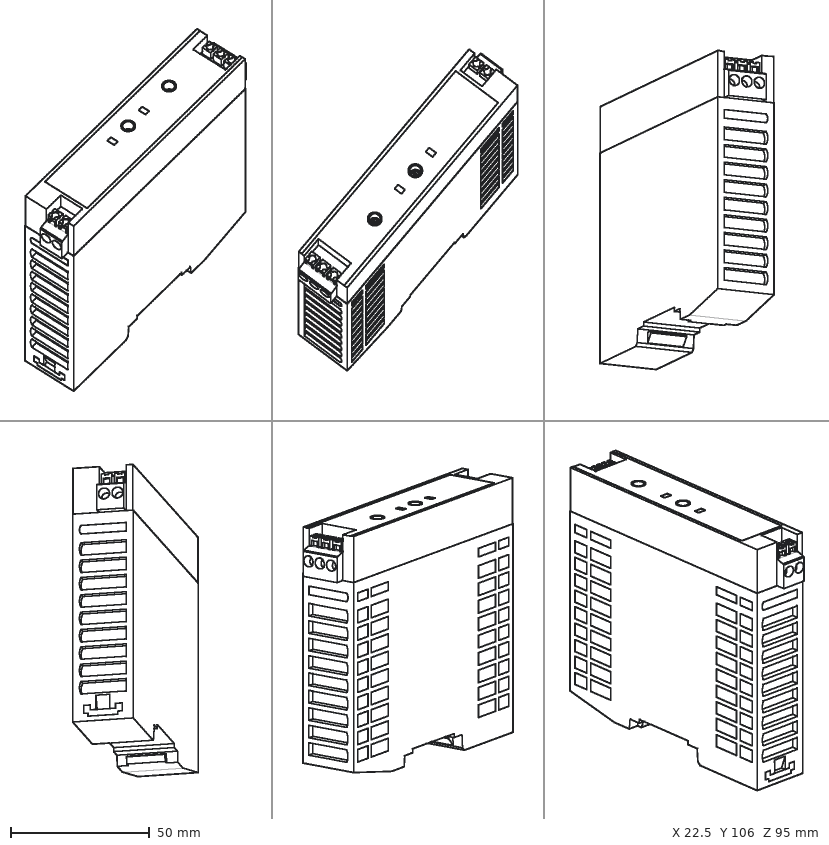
import cadquery as cq

width = 22.5
height = 95.0
total_length = 106
half_length = 49.5
half_width = width / 2
cap_bottom = 77.8
seam_step = 0.1
line_depth = 0.1

toe_start = 6.9
toe_bottom = 2.1
toe_bend_y = 26.0
rail_edge_y = 17.7
rail_top = 6.1
relief_y = 12.8
relief_top = 7.6
front_foot_y = -19.3
channel_draft = 0.4
front_edge_bottom = 1.2
hook_width = 14.2
hook_root_y = 19.1
hook_top = 5.5
hook_tip_y = 15.3
hook_tip_top = 5.1
hook_tip_bottom = 4.6
rear_hook_heel_y = 16.1
front_hook_heel = 0.1

vent_left = -8.1
vent_right = 8.6
vent_bulge = 0.6
vent_height = 4.7
vent_depth = 2.5
vent_count = 9
vent_first_top = 66.9
vent_last_top = 14.9
vent_pitch = (vent_first_top - vent_last_top) / (vent_count - 1)
shallow_vent_top = 73.4
shallow_vent_height = 3.2
window_spans = [(28.0, 38.6), (40.6, 46.9)]

latch_half_width = 7.1
latch_foot_half_width = 5.5
latch_notch_half_width = 4.7
latch_top = 5.9
latch_notch_bottom = 4.1
latch_step = 3.0
latch_bottom = 1.8
finger_width = 5.1
finger_top = 9.4
finger_depth = 1.9

panel_half_width = 9.8
panel_front = -39.9
dial_x = -2.5
dial_ys = [22.6, -1.0]
dial_collar_diameter = 5.2
dial_bore_diameter = 4.0
dial_depth = 4.2
dial_screw_diameter = 2.5
dial_screw_height = 0.5
dial_slot_length = 1.1
dial_slot_width = 0.7
led_ys = [8.1, -10.0]
led_width = 3.2
led_length = 2.0

front_poles = 2
rear_poles = 3
connector_right = 8.6
pole_pitch = 5.0
pole_edge = 2.3
pocket_inner_y = 41.1
pocket_floor = 88.4
nose_crest = 87.5
nose_shoulder = 87.1
nose_chamfer = 0.4
tower_size = 3.8
tower_top = 92.1
tower_slot_depth = 0.4
tower_screw_diameter = 2.3
tower_cross_slot = 0.8
tower_front_slot = 1.4
tower_mouth_width = 2.4
tower_mouth_top = 90.5
tower_mouth_depth = 1.3
wire_hole_z = 83.7
wire_hole_diameter = 4.0
wire_hole_inner_diameter = 2.5
wire_hole_length = 5.1
wire_floor_depth = 3.4
wire_floor_tilt = 36


def block(x0, x1, y0, y1, z0, z1):
    """Box given by its limits along each axis."""
    return cq.Workplane("XY").box(x1 - x0, y1 - y0, z1 - z0, centered=False).translate((x0, y0, z0))


def side_prism(points, prism_width):
    """Extrude a (Y, Z) outline along X, centred on X = 0."""
    return cq.Workplane("YZ").polyline(points).close().extrude(prism_width / 2, both=True)


def front_prism(outline, depth):
    """Extrude a closed (X, Z) outline from the front face into the housing."""
    return outline.extrude(-depth).translate((0, -half_length, 0))


def mirror_to_rear(shape):
    return shape.mirror("XZ")


def make_body():
    outline = [
        (half_length, cap_bottom), (half_length, toe_start),
        (toe_bend_y, toe_bottom), (rail_edge_y + channel_draft, toe_bottom),
        (rail_edge_y, rail_top), (relief_y, rail_top),
        (relief_y, relief_top), (-relief_y, relief_top),
        (-relief_y, rail_top), (-rail_edge_y, rail_top),
        (-rail_edge_y - channel_draft, front_edge_bottom), (front_foot_y, 0),
        (-half_length, 0), (-half_length, cap_bottom),
    ]
    return side_prism(outline, width)


def make_hooks():
    """Rail hooks that reach from both channel sides under the rail flanges."""
    rear_hook = [
        (hook_root_y, toe_bottom), (rear_hook_heel_y, toe_bottom),
        (hook_tip_y, hook_tip_bottom), (rail_edge_y, hook_top), (hook_root_y, hook_top),
    ]
    front_hook = [
        (-hook_root_y, hook_top), (-rail_edge_y, hook_top), (-hook_tip_y, hook_tip_top),
        (-hook_tip_y, hook_tip_bottom), (front_foot_y, front_hook_heel), (front_foot_y, hook_tip_top),
    ]
    return side_prism(rear_hook, hook_width).union(side_prism(front_hook, hook_width))


def make_cap():
    cap_x = half_width - seam_step
    cap_y = half_length - seam_step
    return block(-cap_x, cap_x, -cap_y, cap_y, cap_bottom, height)


def vent_slot(top, slot_height, depth):
    """Horizontal vent in the front face with a curved left end."""
    bottom = top - slot_height
    outline = (
        cq.Workplane("XZ")
        .moveTo(vent_left, bottom)
        .lineTo(vent_right, bottom)
        .lineTo(vent_right, top)
        .lineTo(vent_left, top)
        .threePointArc((vent_left - vent_bulge, top - slot_height / 2), (vent_left, bottom))
        .close()
    )
    return front_prism(outline, depth)


def vent_windows(top, slot_height):
    """Two shallow windows in the -X side, near the front end."""
    windows = cq.Workplane("XY")
    for inner, outer in window_spans:
        window = block(-half_width, -half_width + line_depth, -outer, -inner, top - slot_height, top)
        windows = windows.add(window)
    return windows.combine()


def make_vents():
    vents = vent_slot(shallow_vent_top, shallow_vent_height, line_depth)
    vents = vents.union(vent_windows(shallow_vent_top, shallow_vent_height))
    for row in range(vent_count):
        top = vent_first_top - row * vent_pitch
        vents = vents.union(vent_slot(top, vent_height, vent_depth))
        vents = vents.union(vent_windows(top, vent_height))
    return vents.union(mirror_to_rear(vents))


def make_latch_recess():
    """Outline of the latch slider and the sloped finger recess above it."""
    right_side = [
        (latch_foot_half_width, latch_bottom), (latch_foot_half_width, latch_step),
        (latch_half_width, latch_step), (latch_half_width, latch_top),
        (latch_notch_half_width, latch_top), (latch_notch_half_width, latch_notch_bottom),
    ]
    left_side = [(-x, z) for x, z in reversed(right_side)]
    slider = front_prism(cq.Workplane("XZ").polyline(right_side + left_side).close(), line_depth)
    finger = side_prism(
        [
            (-half_length, finger_top),
            (-half_length, latch_notch_bottom),
            (-half_length + finger_depth, latch_notch_bottom),
        ],
        finger_width,
    )
    return slider.union(finger)


def make_panel_recess():
    cap_end = half_length - seam_step
    floor = height - line_depth
    panel = block(-panel_half_width, panel_half_width, panel_front, cap_end, floor, height)
    led_floor = floor - line_depth
    for led_y in led_ys:
        led = cq.Workplane("XY").box(led_width, led_length, line_depth, centered=(True, True, False))
        panel = panel.union(led.translate((dial_x, led_y, led_floor)))
    for dial_y in dial_ys:
        panel = panel.union(dial_recess().translate((dial_x, dial_y, floor)))
    return panel


def dial_recess():
    """Collar and bore of a trimmer, around the slotted screw left standing at the bottom."""
    collar = cq.Workplane("XY").circle(dial_collar_diameter / 2).extrude(-line_depth)
    bore = cq.Workplane("XY").circle(dial_bore_diameter / 2).extrude(-dial_depth)
    screw = (
        cq.Workplane("XY", origin=(0, 0, -dial_depth))
        .circle(dial_screw_diameter / 2)
        .extrude(dial_screw_height)
        .faces(">Z")
        .workplane()
        .rect(dial_slot_length, dial_slot_width)
        .cutBlind(-dial_screw_height)
    )
    return collar.union(bore).cut(screw)


def pole_centres(poles):
    return [connector_right - pole_edge - pole * pole_pitch for pole in range(poles)]


def connector_left(poles):
    return connector_right - poles * pole_pitch


def make_pocket(poles):
    return block(
        connector_left(poles), connector_right, -half_length, -pocket_inner_y, pocket_floor, height
    )


def wire_hole(x):
    """Tapered wire entry that ends on a tilted clamp plate."""
    face_y = -total_length / 2
    funnel = (
        cq.Workplane("XZ", origin=(x, face_y, wire_hole_z))
        .circle(wire_hole_diameter / 2)
        .workplane(offset=-wire_hole_length)
        .circle(wire_hole_inner_diameter / 2)
        .loft()
    )
    plate_size = 3 * wire_hole_diameter
    plate = (
        cq.Workplane("XY")
        .box(plate_size, plate_size, plate_size, centered=(True, False, True))
        .rotate((0, 0, 0), (1, 0, 0), -wire_floor_tilt)
        .translate((x, face_y + wire_floor_depth, wire_hole_z))
    )
    return funnel.cut(plate)


def terminal_tower(x):
    """Clamp tower with a screw recess on top and a mouth on its outer face."""
    outer_y = -half_length + seam_step
    half = tower_size / 2
    centre_y = outer_y + half
    slot_floor = tower_top - tower_slot_depth
    tower = block(x - half, x + half, outer_y, outer_y + tower_size, pocket_floor, tower_top)
    screw = (
        cq.Workplane("XY", origin=(x, centre_y, slot_floor))
        .circle(tower_screw_diameter / 2)
        .extrude(tower_slot_depth)
    )
    half_cross = tower_cross_slot / 2
    cross_slot = block(
        x - half, x + half, centre_y - half_cross, centre_y + half_cross, slot_floor, tower_top
    )
    half_front = tower_front_slot / 2
    front_slot = block(x - half_front, x + half_front, outer_y, centre_y, slot_floor, tower_top)
    half_mouth = tower_mouth_width / 2
    mouth = block(
        x - half_mouth, x + half_mouth,
        outer_y, outer_y + tower_mouth_depth,
        pocket_floor, tower_mouth_top,
    )
    return tower.cut(screw).cut(cross_slot).cut(front_slot).cut(mouth)


def make_connector(poles):
    """Plug that stands out of the front face, with its terminal towers."""
    face_y = -total_length / 2
    nose_width = poles * pole_pitch
    nose_outline = [
        (-pocket_inner_y, cap_bottom), (face_y, cap_bottom),
        (face_y, nose_shoulder), (face_y + nose_chamfer, nose_crest),
        (-half_length + seam_step, pocket_floor), (-pocket_inner_y, pocket_floor),
    ]
    nose_x = connector_right - nose_width / 2
    connector = side_prism(nose_outline, nose_width).translate((nose_x, 0, 0))
    for x in pole_centres(poles):
        connector = connector.union(terminal_tower(x))
    return connector


def make_wire_holes(poles):
    holes = cq.Workplane("XY")
    for x in pole_centres(poles):
        holes = holes.add(wire_hole(x))
    return holes.combine()


result = make_body().union(make_hooks()).union(make_cap())
result = result.cut(make_vents()).cut(make_latch_recess()).cut(make_panel_recess())
result = result.cut(make_pocket(front_poles)).cut(mirror_to_rear(make_pocket(rear_poles)))
result = result.union(make_connector(front_poles)).union(mirror_to_rear(make_connector(rear_poles)))
result = result.cut(make_wire_holes(front_poles)).cut(mirror_to_rear(make_wire_holes(rear_poles)))